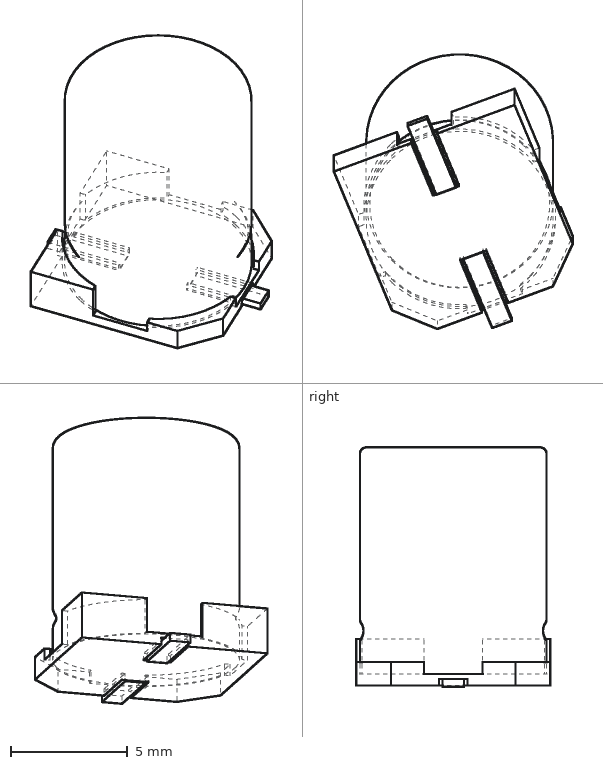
import cadquery as cq
import math

total_height = 10.25
lead_span = 9.9

base_side = 8.3
base_bottom = 0.05
corner_cut = 1.5
tall_corner_height = 2.0
low_corner_height = 1.0
floor_height = 0.5
window_width = 2.5
seat_radius = 4.1

can_radius = 4.0
rim_radius = 0.3
groove_z = 2.4
groove_radius = 0.6
shoulder_radius = 0.3
groove_half_height = 0.5

lead_width = 0.9
lead_top = 0.35
lead_inner_x = 1.58
lead_slot_width = 1.2

half_base = base_side / 2
floor_z = base_bottom + floor_height


def make_base():
    """Floor plate with four corner blocks standing around a round seat."""
    base = (
        cq.Workplane("XY").workplane(offset=base_bottom)
        .rect(base_side, base_side).extrude(tall_corner_height)
        .faces(">X").edges("|Z").chamfer(corner_cut)
    )
    cutter = cq.Workplane("XY").workplane(offset=floor_z)
    clear_height = tall_corner_height - floor_height
    seat = cutter.circle(seat_radius).extrude(clear_height)
    window_x = cutter.rect(base_side, window_width).extrude(clear_height)
    window_y = cutter.rect(window_width, base_side).extrude(clear_height)
    low_corners = (
        cq.Workplane("XY").workplane(offset=base_bottom + low_corner_height)
        .center(half_base / 2, 0).rect(half_base, base_side)
        .extrude(tall_corner_height - low_corner_height)
    )
    return base.cut(seat).cut(window_x).cut(window_y).cut(low_corners)


def make_can():
    """Revolved can with a rounded rim and a rolled groove near the base."""
    tilt = math.asin(groove_half_height / (groove_radius + shoulder_radius))
    shoulder_center_r = can_radius - shoulder_radius
    join_r = shoulder_center_r + shoulder_radius * math.cos(tilt)
    join_dz = groove_radius * math.sin(tilt)
    waist_r = join_r - groove_radius * (1 - math.cos(tilt))
    shoulder_mid_r = shoulder_center_r + shoulder_radius * math.cos(tilt / 2)
    shoulder_mid_dz = groove_half_height - shoulder_radius * math.sin(tilt / 2)

    rim_inset = rim_radius * (1 - math.sqrt(0.5))
    profile = (
        cq.Workplane("XZ").moveTo(0, floor_z)
        .lineTo(can_radius, floor_z)
        .lineTo(can_radius, groove_z - groove_half_height)
        .threePointArc((shoulder_mid_r, groove_z - shoulder_mid_dz), (join_r, groove_z - join_dz))
        .threePointArc((waist_r, groove_z), (join_r, groove_z + join_dz))
        .threePointArc(
            (shoulder_mid_r, groove_z + shoulder_mid_dz),
            (can_radius, groove_z + groove_half_height),
        )
        .lineTo(can_radius, total_height - rim_radius)
        .threePointArc(
            (can_radius - rim_inset, total_height - rim_inset),
            (can_radius - rim_radius, total_height),
        )
        .lineTo(0, total_height)
        .close()
    )
    return profile.revolve(360, (0, 0), (0, 1))


def lead_bar(side, outer_x, width):
    """Flat bar on the given X side, from the inner lead end out to outer_x."""
    length = outer_x - lead_inner_x
    center_x = side * (outer_x + lead_inner_x) / 2
    return cq.Workplane("XY").center(center_x, 0).rect(length, width).extrude(lead_top)


result = make_base().union(make_can())
for side in (-1, 1):
    result = result.cut(lead_bar(side, half_base, lead_slot_width))
    result = result.union(lead_bar(side, lead_span / 2, lead_width))